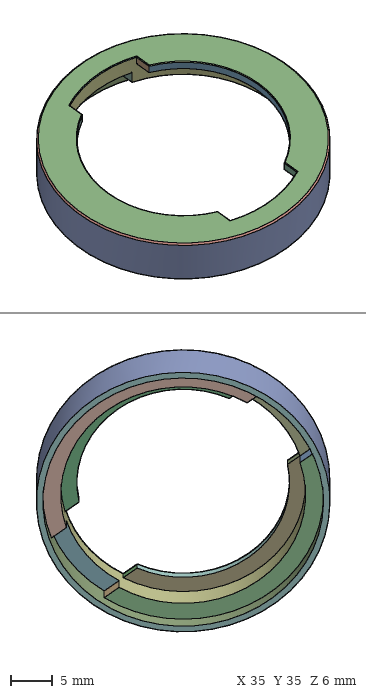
import cadquery as cq

outer_radius = 17.5
height = 6.0
rim_chamfer = 0.2

lip_radius = 12.67
bore_radius = 14.6
counterbore_radius = 16.73
lip_thickness = 1.2
counterbore_top_depth = 4.2

notch_width = 11.27
opening_chamfer = 0.1

slot_width = 10.22
slot_top_depth = 2.5


def disc(radius, bottom, top):
    """Solid cylinder about Z between two heights."""
    return cq.Workplane("XY").workplane(offset=bottom).circle(radius).extrude(top - bottom)


def trimmed_bar(width, radius, bottom, top):
    """Bar along X whose ends are rounded to a circle about Z."""
    bar = cq.Workplane("XY").workplane(offset=bottom).rect(2 * outer_radius, width).extrude(top - bottom)
    return bar.intersect(disc(radius, bottom, top))


def ring_body():
    return disc(outer_radius, 0, height).faces(">Z").edges().chamfer(rim_chamfer)


def lip_opening():
    """Round opening with two notches."""
    lip_bottom = height - lip_thickness
    opening = disc(lip_radius, lip_bottom, height)
    return opening.union(trimmed_bar(notch_width, bore_radius, lip_bottom, height))


def stepped_bore():
    counterbore_top = height - counterbore_top_depth
    bore = disc(bore_radius, 0, height - lip_thickness)
    return bore.union(disc(counterbore_radius, 0, counterbore_top))


def relief_slots():
    return trimmed_bar(slot_width, counterbore_radius, 0, height - slot_top_depth)


def notched_ring():
    """Ring body with the lip opening cut and its top edge broken."""
    ring = ring_body().cut(lip_opening())
    opening_edges = ring.faces(">Z").val().innerWires()[0].Edges()
    return ring.newObject(opening_edges).chamfer(opening_chamfer)


result = notched_ring().cut(stepped_bore()).cut(relief_slots())